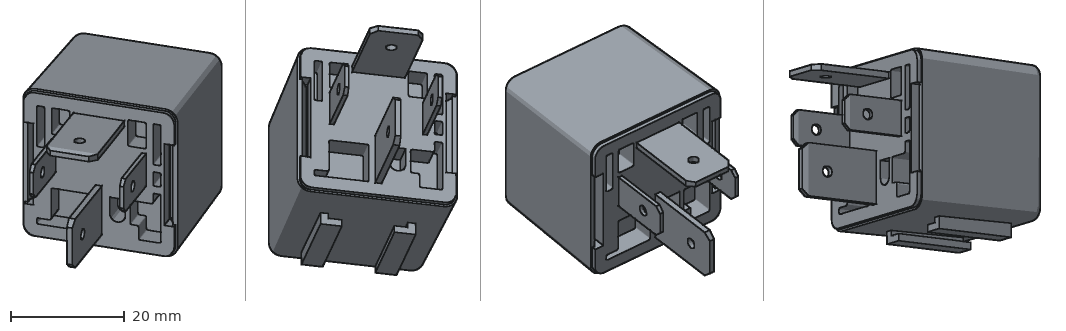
import cadquery as cq


COVER_WIDTH = 28.8
BACK_Y = 26.2
DRAFT = 1.0
CORNER_RADIUS = 2.4
BACK_FILLET = 1.2
WALL = 0.9

FLANGE_WIDTH = 28.0
FLANGE_THICKNESS = 0.85
PLUG_BACK_Y = 5.2
POCKET_DEPTH = 4.15
POCKET_RADIUS = 0.37

NOTCH_INNER_X = 12.17
NOTCH_HEIGHT = 15.9
NOTCH_DEPTH = 2.58
WEDGE_TIP_X = 12.42
WEDGE_HEIGHT = 15.2

HOOK_OUTER_X = 8.55
HOOK_INNER_X = 4.75
HOOK_LEG_WIDTH = 1.4
HOOK_DROP = 2.1
HOOK_BOTTOM_Z = -COVER_WIDTH / 2 - HOOK_DROP
HOOK_FOOT_THICKNESS = 1.3
HOOK_FRONT_Y = 8.05
HOOK_BACK_Y = 23.05

POCKET_SIDE_X = 11.55
POCKET_TOP_Z = POCKET_SIDE_X
SLOT_WIDTH = 1.45
SLOT_INNER_X = POCKET_SIDE_X - SLOT_WIDTH
LOWER_TOP_Z = -4.1
LOWER_BOTTOM_Z = -POCKET_SIDE_X

HOLE_DIAMETER = 1.9
ROOT_Y = POCKET_DEPTH
LARGE_BLADE = dict(width=9.5, thickness=1.15, tip_y=-15.35, hole_y=-10.1,
                   tip_length=1.35, tip_bevel=1.15, tip_thinning=0.1)
SMALL_BLADE = dict(width=6.35, thickness=0.8, tip_y=-11.7, hole_y=-6.95,
                   tip_length=1.1, tip_bevel=1.1, tip_thinning=0.05)
TOP_BLADE_Z = 10.68
LOWER_BLADE_Z = -6.9
SIDE_BLADE_X = 8.4
SIDE_BLADE_Z = 2.33


def front_plane(y):
    """Sketch plane at the given Y, with +X right, +Z up and its normal along -Y."""
    return cq.Workplane("XZ", origin=(0, y, 0))


def drafted_block(width, corner_radius, back_y):
    """Square block from the cover rim to back_y, drafted, with equal corner radii."""
    block = front_plane(FLANGE_THICKNESS).rect(width, width)
    block = block.extrude(-(back_y - FLANGE_THICKNESS), taper=DRAFT)
    return block.edges("not(#Y)").fillet(corner_radius)


def cavity_block(back_y):
    """Inside of the cover from the rim to back_y."""
    return drafted_block(COVER_WIDTH - 2 * WALL, CORNER_RADIUS - WALL, back_y)


def make_hook(side):
    outline = [
        (HOOK_OUTER_X, -COVER_WIDTH / 2 + WALL),
        (HOOK_OUTER_X, HOOK_BOTTOM_Z),
        (HOOK_INNER_X, HOOK_BOTTOM_Z),
        (HOOK_INNER_X, HOOK_BOTTOM_Z + HOOK_FOOT_THICKNESS),
        (HOOK_OUTER_X - HOOK_LEG_WIDTH, HOOK_BOTTOM_Z + HOOK_FOOT_THICKNESS),
        (HOOK_OUTER_X - HOOK_LEG_WIDTH, -COVER_WIDTH / 2 + WALL),
    ]
    points = [(side * x, z) for x, z in outline]
    return front_plane(HOOK_FRONT_Y).polyline(points).close().extrude(HOOK_FRONT_Y - HOOK_BACK_Y)


def make_wedge(side):
    """Latch ramp on the inside of a cover side wall, rising from the rim to the notch floor."""
    rim_x = COVER_WIDTH / 2 - WALL
    outline = [
        (rim_x, FLANGE_THICKNESS),
        (WEDGE_TIP_X, NOTCH_DEPTH),
        (rim_x + WALL / 2, NOTCH_DEPTH),
        (rim_x + WALL / 2, FLANGE_THICKNESS),
    ]
    points = [(side * x, y) for x, y in outline]
    return cq.Workplane("XY").polyline(points).close().extrude(WEDGE_HEIGHT / 2, both=True)


def make_cover():
    cover = drafted_block(COVER_WIDTH, CORNER_RADIUS, BACK_Y)
    cover = cover.faces(">Y").edges().fillet(BACK_FILLET)
    for side in (-1, 1):
        cover = cover.union(make_hook(side))
    cover = cover.cut(cavity_block(BACK_Y - WALL))
    for side in (-1, 1):
        cover = cover.union(make_wedge(side))
    return cover


def pocket(points):
    """Pocket cutter with rounded corners, sunk from the front face of the base."""
    cutter = front_plane(0).polyline(points).close().extrude(-POCKET_DEPTH)
    return cutter.edges("|Y").fillet(POCKET_RADIUS)


def rectangular_pocket(x_min, x_max, z_min, z_max):
    return pocket([(x_min, z_min), (x_max, z_min), (x_max, z_max), (x_min, z_max)])


def round_bottom_pocket():
    x_min, x_max, bottom_z = 2.05, 4.9, -8.73
    radius = (x_max - x_min) / 2
    arc_z = bottom_z + radius
    outline = front_plane(0).moveTo(x_min, LOWER_TOP_Z).lineTo(x_max, LOWER_TOP_Z).lineTo(x_max, arc_z)
    outline = outline.threePointArc((x_min + radius, bottom_z), (x_min, arc_z)).close()
    return outline.extrude(-POCKET_DEPTH)


def base_pockets():
    slot_bottom_z = 3.57
    short_slot_bottom_z, short_slot_top_z = -0.6, 2.15
    window_inner_x, window_outer_x, window_bottom_z = 5.4, 8.8, 6.45
    cutters = [round_bottom_pocket()]
    for left, right in ((-POCKET_SIDE_X, -SLOT_INNER_X), (SLOT_INNER_X, POCKET_SIDE_X)):
        cutters.append(rectangular_pocket(left, right, slot_bottom_z, POCKET_TOP_Z))
    for left, right in ((-window_outer_x, -window_inner_x), (window_inner_x, window_outer_x)):
        cutters.append(rectangular_pocket(left, right, window_bottom_z, POCKET_TOP_Z))
    cutters.append(rectangular_pocket(
        SLOT_INNER_X, POCKET_SIDE_X, short_slot_bottom_z, short_slot_top_z))

    body_left, body_right, toe_z = -8.9, -1.75, -10.4
    cutters.append(pocket([
        (-POCKET_SIDE_X, LOWER_BOTTOM_Z), (body_right, LOWER_BOTTOM_Z), (body_right, LOWER_TOP_Z),
        (body_left, LOWER_TOP_Z), (body_left, toe_z), (-POCKET_SIDE_X, toe_z),
    ]))

    arm_z, body_left, step_x, step_z = -2.05, 5.8, 7.4, -8.8
    cutters.append(pocket([
        (step_x, LOWER_BOTTOM_Z), (POCKET_SIDE_X, LOWER_BOTTOM_Z), (POCKET_SIDE_X, arm_z),
        (SLOT_INNER_X, arm_z), (SLOT_INNER_X, LOWER_TOP_Z), (body_left, LOWER_TOP_Z),
        (body_left, step_z), (step_x, step_z),
    ]))
    return cutters


def latch_notch(side):
    width = COVER_WIDTH / 2 - NOTCH_INNER_X
    notch = cq.Workplane("XY").box(width, NOTCH_DEPTH, NOTCH_HEIGHT)
    return notch.translate((side * (NOTCH_INNER_X + width / 2), NOTCH_DEPTH / 2, 0))


def make_base(blades):
    flange = front_plane(0).rect(FLANGE_WIDTH, FLANGE_WIDTH).extrude(-FLANGE_THICKNESS)
    flange_radius = CORNER_RADIUS - (COVER_WIDTH - FLANGE_WIDTH) / 2
    base = flange.edges("|Y").fillet(flange_radius).union(cavity_block(PLUG_BACK_Y))
    for cutter in base_pockets():
        base = base.cut(cutter)
    for side in (-1, 1):
        base = base.cut(latch_notch(side))
    for blade in blades:
        base = base.cut(blade)
    return base


def make_blade(width, thickness, tip_y, hole_y, tip_length, tip_bevel, tip_thinning):
    """Blade lying flat: width along X, thickness along Z, centred on the Y axis."""
    shoulder_y = tip_y + tip_length
    half_width = width / 2
    half_thickness = thickness / 2
    outline = cq.Workplane("XY").polyline([
        (-half_width, ROOT_Y), (-half_width, shoulder_y), (-half_width + tip_bevel, tip_y),
        (half_width - tip_bevel, tip_y), (half_width, shoulder_y), (half_width, ROOT_Y),
    ]).close().extrude(half_thickness, both=True)
    profile = cq.Workplane("YZ").polyline([
        (ROOT_Y, -half_thickness), (shoulder_y, -half_thickness), (tip_y, -half_thickness + tip_thinning),
        (tip_y, half_thickness - tip_thinning), (shoulder_y, half_thickness), (ROOT_Y, half_thickness),
    ]).close().extrude(half_width, both=True)
    hole = cq.Workplane("XY").center(0, hole_y).circle(HOLE_DIAMETER / 2).extrude(thickness, both=True)
    return outline.intersect(profile).cut(hole)


def upright(blade):
    """Turn a flat blade about the Y axis so that its width runs along Z."""
    return blade.rotate((0, 0, 0), (0, 1, 0), 90)


def make_blades():
    flat_large = make_blade(**LARGE_BLADE)
    upright_small = upright(make_blade(**SMALL_BLADE))
    blades = [
        flat_large.translate((0, 0, TOP_BLADE_Z)),
        upright(flat_large).translate((0, 0, LOWER_BLADE_Z)),
    ]
    for side in (-1, 1):
        blades.append(upright_small.translate((side * SIDE_BLADE_X, 0, SIDE_BLADE_Z)))
    return blades


terminals = make_blades()
base = make_base(terminals)
cover = make_cover()

result = cq.Compound.makeCompound([cover.val(), base.val(), *[blade.val() for blade in terminals]])